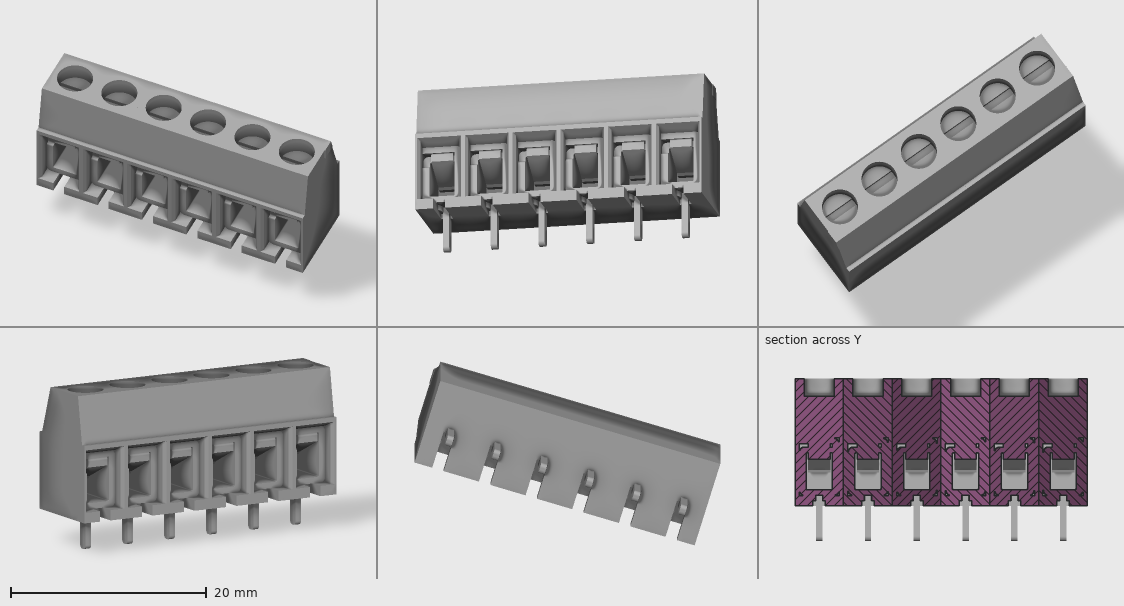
import cadquery as cq
import math


poles = 6
block_length = 30.0
end_plate_thickness = 0.05
pitch = (block_length - end_plate_thickness) / poles
depth = 9.0
height = 13.05
shoulder_height = 8.07
shoulder_width = 0.48
front_top_inset = 1.3
rear_top_inset = 2.2
middle = pitch / 2

end_plate_front = 5.4
end_plate_height = 1.2

screw_y = 4.0
well_diameter = 3.7
well_depth = 1.8
screw_slot_width = 0.8
screw_slot_depth = 0.45

pocket_width = 4.08
pocket_bottom = 1.08
pocket_top = 6.95
pocket_back = 6.0
mouth_flare = 0.25
mouth_depth = 0.42
mouth_top = 7.6

cage_front = 1.5
cage_length = pocket_back - cage_front
cage_corner_radius = 0.55
window_width = 2.65
window_bottom = 1.7
window_top = 5.43
window_corner_radius = 0.1
seam_bottom = 6.05
seam_top = 6.33
inner_end_setback = 0.35
setback_bottom = 4.7
setback_bend_radius = inner_end_setback / 2

guard_width = 2.28
guard_nose_radius = seam_top - seam_bottom
guard_slope_run = 3.6
guard_slope_bottom = 3.72
guard_tip_run = 0.15
guard_bottom = 3.45

pin_width = 0.65
pin_depth = 1.08
pin_length = 3.55
pin_tip_radius = 0.42
floor_slot_width = 1.23
floor_throat_width = 0.55
floor_throat_length = 1.02
floor_slot_step = 0.55


def centred_box(width, y_range, z_range):
    """Box centred on the pole in X, between two Y and two Z positions."""
    y_start, y_end = y_range
    z_start, z_end = z_range
    return cq.Workplane("XY").box(
        width, y_end - y_start, z_end - z_start, centered=(True, False, False)
    ).translate((middle, y_start, z_start))


def block_profile(length):
    """Outer cross-section of the block, extruded along X from 0."""
    outline = [
        (0, 0),
        (depth, 0),
        (depth, shoulder_height),
        (depth - shoulder_width, shoulder_height),
        (depth - rear_top_inset, height),
        (front_top_inset, height),
        (shoulder_width, shoulder_height),
        (0, shoulder_height),
    ]
    return cq.Workplane("YZ").polyline(outline).close().extrude(length)


def screw_well():
    """Round well whose floor is the screw head."""
    well_floor = height - well_depth
    centre = cq.Workplane("XY", origin=(middle, screw_y, well_floor))
    return centre.circle(well_diameter / 2).extrude(well_depth)


def driver_slot():
    """Straight slot across the whole screw head, ended by the wall of the well."""
    half_width = screw_slot_width / 2
    half_length = math.sqrt((well_diameter / 2) ** 2 - half_width**2)
    return (
        cq.Workplane("XY", origin=(middle, screw_y, height - well_depth - screw_slot_depth))
        .moveTo(-half_length, -half_width)
        .lineTo(half_length, -half_width)
        .threePointArc((well_diameter / 2, 0), (half_length, half_width))
        .lineTo(-half_length, half_width)
        .threePointArc((-well_diameter / 2, 0), (-half_length, -half_width))
        .close()
        .extrude(screw_slot_depth)
    )


def wire_entry():
    """Rectangular pocket with a flat floor, a mouth flared to both sides and a sloping front ceiling."""
    half_pocket = pocket_width / 2
    half_mouth = half_pocket + mouth_flare
    plan = [
        (-half_mouth, 0),
        (half_mouth, 0),
        (half_pocket, mouth_depth),
        (half_pocket, pocket_back),
        (-half_pocket, pocket_back),
        (-half_pocket, mouth_depth),
    ]
    side = [
        (0, pocket_bottom),
        (pocket_back, pocket_bottom),
        (pocket_back, pocket_top),
        (cage_front, pocket_top),
        (0, mouth_top),
    ]
    flared_sides = cq.Workplane("XY", origin=(middle, 0, 0)).polyline(plan).close().extrude(height)
    sloped_ceiling = cq.Workplane("YZ").polyline(side).close().extrude(pitch)
    return flared_sides.intersect(sloped_ceiling)


def floor_slot():
    """Slot in the floor, narrowed by curved jaws in its upper half and straight in its lower half."""
    pin_front = screw_y - pin_depth / 2
    jaw_start = pin_front - floor_throat_length
    half_slot = floor_slot_width / 2
    half_throat = floor_throat_width / 2
    jaw_step = half_slot - half_throat
    jaw_radius = (jaw_step**2 + floor_throat_length**2) / (2 * jaw_step)
    upper = (
        cq.Workplane("XY", origin=(middle, 0, floor_slot_step))
        .moveTo(-half_slot, 0)
        .lineTo(half_slot, 0)
        .lineTo(half_slot, jaw_start)
        .radiusArc((half_throat, pin_front), jaw_radius)
        .lineTo(-half_throat, pin_front)
        .radiusArc((-half_slot, jaw_start), jaw_radius)
        .close()
        .extrude(pocket_bottom - floor_slot_step)
    )
    lower = centred_box(floor_slot_width, (0, screw_y), (0, floor_slot_step))
    return upper.union(lower)


def clamp_cage():
    """Strip wound into a loop: the inner end passes below the outer end and is set back."""
    pocket_left = middle - pocket_width / 2
    window_right = middle + window_width / 2
    inner_end_width = window_right - pocket_left
    y_range = (cage_front, pocket_back)
    bend_middle_y = cage_front + setback_bend_radius
    bend_middle_z = setback_bottom + setback_bend_radius
    setback_face = cage_front + inner_end_setback

    cage = (
        centred_box(pocket_width, y_range, (pocket_bottom, seam_bottom))
        .edges("|Y and (<X or <Z)")
        .fillet(cage_corner_radius)
    )
    outer_end = (
        centred_box(pocket_width, y_range, (window_top, pocket_top))
        .edges("|Y and >X and >Z")
        .fillet(cage_corner_radius)
    )
    below_outer_end = cq.Workplane("XY").box(
        inner_end_width, cage_length, seam_top - window_top, centered=False
    ).translate((pocket_left, cage_front, window_top))
    cage = cage.union(outer_end.cut(below_outer_end))

    window = (
        centred_box(window_width, y_range, (window_bottom, window_top))
        .edges("|Y")
        .fillet(window_corner_radius)
    )
    setback = (
        cq.Workplane("YZ", origin=(pocket_left, 0, 0))
        .moveTo(cage_front, setback_bottom)
        .radiusArc((bend_middle_y, bend_middle_z), setback_bend_radius)
        .radiusArc((setback_face, bend_middle_z + setback_bend_radius), -setback_bend_radius)
        .lineTo(setback_face, seam_bottom)
        .lineTo(cage_front, seam_bottom)
        .close()
        .extrude(inner_end_width)
    )
    return cage.cut(window).cut(setback)


def wire_guard():
    """Tongue above the wire: rounded upper lip, flat lip face, sloping underside, blunt tip."""
    slope_end = cage_front + guard_slope_run
    return (
        cq.Workplane("YZ", origin=(middle - guard_width / 2, 0, 0))
        .moveTo(cage_front, window_top)
        .lineTo(cage_front, seam_bottom)
        .radiusArc((cage_front + guard_nose_radius, seam_top), guard_nose_radius)
        .lineTo(pocket_back, seam_top)
        .lineTo(pocket_back, guard_bottom)
        .lineTo(slope_end + guard_tip_run, guard_bottom)
        .lineTo(slope_end, guard_slope_bottom)
        .close()
        .extrude(guard_width)
    )


def solder_pin():
    """Flat pin from the cage down through the floor, rounded at its tip."""
    y_range = (screw_y - pin_depth / 2, screw_y + pin_depth / 2)
    pin = centred_box(pin_width, y_range, (-pin_length, pocket_bottom))
    return pin.edges("|X and <Z").fillet(pin_tip_radius)


def end_plate():
    """Thin pad on the outer side, trimmed by the sloping rear of the block."""
    pad = cq.Workplane("XY").box(
        end_plate_thickness, depth - end_plate_front, end_plate_height, centered=False
    ).translate((0, end_plate_front, height - end_plate_height))
    return block_profile(end_plate_thickness).intersect(pad).translate((pitch, 0, 0))


def terminal_pole():
    """One complete pole of the block, standing at X = 0."""
    housing = block_profile(pitch).cut(screw_well()).cut(driver_slot()).cut(wire_entry()).cut(floor_slot())
    return housing.union(clamp_cage()).union(wire_guard()).union(solder_pin())


pole = terminal_pole()
end_pole = pole.union(end_plate())

terminal_poles = []
for index in range(poles):
    shape = end_pole if index == poles - 1 else pole
    terminal_poles.append(shape.translate((index * pitch, 0, 0)).val())

result = cq.Compound.makeCompound(terminal_poles)